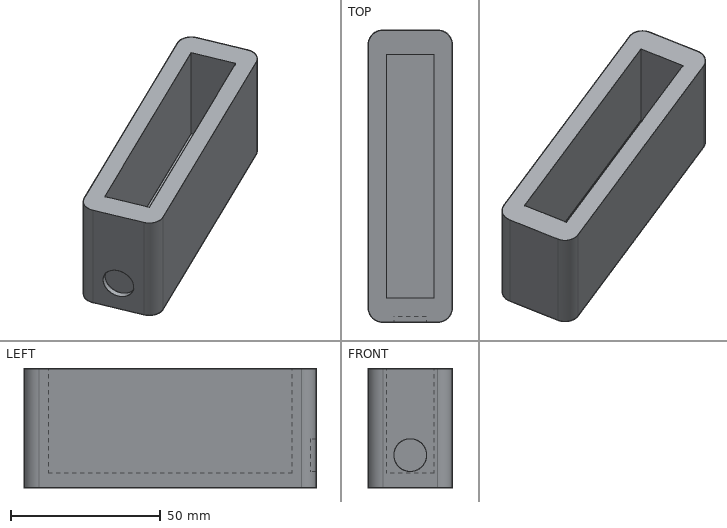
import cadquery as cq

width = 28.3
length = 98.0
height = 40.0
corner_radius = 5.0

pocket_width = 16.0
pocket_length = 81.7
front_wall = (length - pocket_length) / 2
floor_thickness = 5.0

hole_diameter = 11.0
hole_height = 11.0
hole_depth = 2.0

front_y = -length / 2


def make_block():
    block = cq.Workplane("XY").box(width, length, height, centered=(True, True, False))
    return block.edges("|Z").fillet(corner_radius)


def make_pocket():
    pocket = cq.Workplane("XY").box(
        pocket_width,
        pocket_length,
        height - floor_thickness,
        centered=(True, False, False),
    )
    return pocket.translate((0, front_y + front_wall, floor_thickness))


def make_end_hole():
    hole = cq.Workplane("XZ", origin=(0, front_y, hole_height))
    return hole.circle(hole_diameter / 2).extrude(-hole_depth)


result = make_block().cut(make_pocket()).cut(make_end_hole())